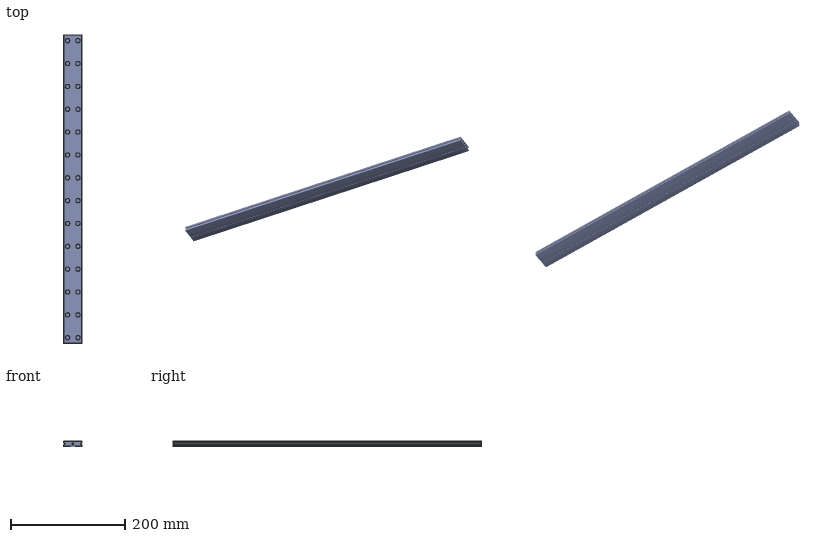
import cadquery as cq

width = 33.0
length = 540.0
height = 9.3
top_chamfer = 0.95
bottom_chamfer = 0.3

groove_mouth = 5.3
flank_depth = 1.5
relief_width = groove_mouth - 2 * flank_depth
relief_depth = 2.4

channel_width = 9.0
channel_depth = 0.5

recess_diameter = 7.5
recess_depth = 0.1
recess_pitch = 40.0
recess_rows = 14
row_spacing = 18.0

end_hole_diameter = 2.5
end_hole_depth = 5.0


def make_body():
    """Plain bar with its four long edges chamfered."""
    bar = cq.Workplane("XY").box(width, length, height)
    bar = bar.edges("|Y and >Z").chamfer(top_chamfer)
    return bar.edges("|Y and <Z").chamfer(bottom_chamfer)


def make_groove(side):
    """Cutter for the raceway on the +X (side=1) or -X (side=-1) face."""
    mouth_x = side * width / 2
    flank_x = side * (width / 2 - flank_depth)
    floor_x = side * (width / 2 - relief_depth)
    outline = [
        (mouth_x, -groove_mouth / 2),
        (flank_x, -relief_width / 2),
        (floor_x, -relief_width / 2),
        (floor_x, relief_width / 2),
        (flank_x, relief_width / 2),
        (mouth_x, groove_mouth / 2),
    ]
    return cq.Workplane("XZ").polyline(outline).close().extrude(length / 2, both=True)


def make_channel():
    """Cutter for the channel along the underside."""
    return (
        cq.Workplane("XY", origin=(0, 0, -height / 2))
        .rect(channel_width, length)
        .extrude(channel_depth)
    )


def make_recesses():
    """Cutters for the grid of recesses in the top face."""
    return (
        cq.Workplane("XY", origin=(0, 0, height / 2))
        .rarray(row_spacing, recess_pitch, 2, recess_rows)
        .circle(recess_diameter / 2)
        .extrude(-recess_depth)
    )


def make_end_hole():
    """Cutter for the centre hole in the -Y end."""
    return (
        cq.Workplane("XZ", origin=(0, -length / 2, 0))
        .circle(end_hole_diameter / 2)
        .extrude(-end_hole_depth)
    )


result = make_body()
for side in (-1, 1):
    result = result.cut(make_groove(side))
result = result.cut(make_channel())
result = result.cut(make_recesses())
result = result.cut(make_end_hole())